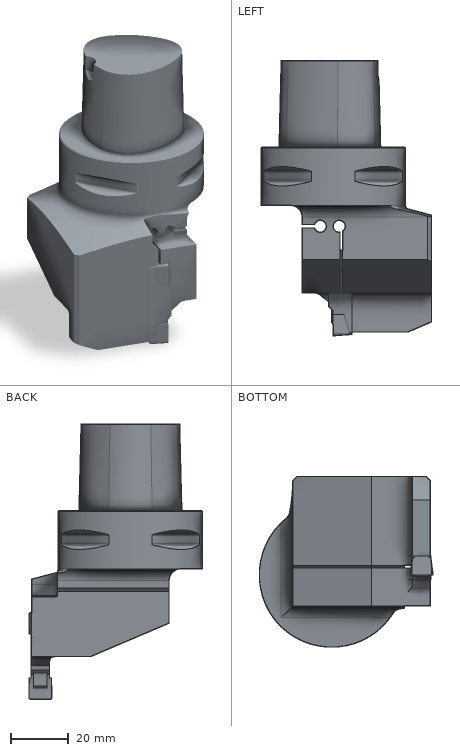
import cadquery as cq
import math

flange_radius = 25.0
flange_top = 65.2
flange_edge_chamfer = 0.4

groove_count = 4
groove_mid_z = 55.1
groove_floor_distance = 22.1
groove_floor_half_width = 1.7
groove_flank_angle = math.radians(30)
groove_floor_fillet = 0.6

shank_top = 95.0
lobe_tip_radius = 18.7
lobe_flat_radius = 16.4
lobe_arc_radius = 12.0
shank_taper_slope = 1 / 40

notch_radius = 4.7
notch_axis_y = -18.1
notch_wall_bottom = 89.6
notch_tip_half_angle = math.radians(53)

head_left = -13.4
head_right = 34.1
head_front = -34.0
head_back = 10.7
head_corner_chamfer = 1.5
head_left_bottom = 26.3
head_bottom = 14.7
slope_end_x = 13.8
flare_radius = 4.0
cone_angle = math.radians(15)
cone_edge_z = 44.1
cone_fillet = 1.2
cone_outer_radius = 57.0

blade_bottom = 1.3
blade_root_fillet = 1.5
blade_chamfer_start_y = -25.8
blade_chamfer_top = 4.8
jaw_relief_top_y = 5.3
jaw_relief_bottom = 11.8
jaw_relief_fillet = 1.9

bore_diameter = 4.1
bore_z = 37.8
clamp_bore_y = 4.5
pivot_bore_y = -2.1
clamp_slit_width = 1.1
seat_slit_width = 0.9
seat_slit_y = -2.85

step_wall_x = 25.2
step_wall_y = -5.6
step_floor_z = 35.3
step_long_fillet = 0.8
step_side_fillet = 4.3

insert_mid_x = 31.1
insert_length = 29.9
insert_shank_half_width = 3.2
insert_bottom_y = -6.5
insert_top_y = 1.5
insert_flank_rise = 0.5
rake_slope_start_z = 8.55
rake_slope_end_z = 10.1
tip_half_width = 4.0
tip_rear_half_width = 3.9
tip_length = 7.4
tip_taper_end_y = -6.1
tip_rear_taper_end_y = -3.7
tip_nose_radius = 0.8
ridge_half_width = 2.3
ridge_height = 0.6
ridge_start_z = 4.0

flange_bottom = cone_edge_z + cone_fillet * math.tan((math.pi / 2 - cone_angle) / 2)
flare_start = flange_bottom - flare_radius
blade_left = insert_mid_x - insert_shank_half_width
cos_45 = math.sqrt(0.5)


def polar(radius, degrees):
    angle = math.radians(degrees)
    return (radius * math.cos(angle), radius * math.sin(angle))


def lobed_section(z, inset):
    """Three lobes and three flatter sides as six tangent arcs, moved inward by inset."""
    lobe_center = lobe_tip_radius - lobe_arc_radius
    step_out = lobe_flat_radius - lobe_arc_radius
    flat_center = (lobe_center**2 - step_out**2) / (2 * step_out - lobe_center)
    half_pitch = math.radians(60)
    flat_half_angle = math.atan2(
        lobe_center * math.sin(half_pitch), flat_center + lobe_center * math.cos(half_pitch)
    )
    normal = half_pitch - flat_half_angle
    inset_radius = lobe_arc_radius - inset
    joint_x = lobe_center + inset_radius * math.cos(normal)
    joint_y = inset_radius * math.sin(normal)
    radius = math.hypot(joint_x, joint_y)
    spread = math.degrees(math.atan2(joint_y, joint_x))

    outline = cq.Workplane("XY", origin=(0, 0, z)).moveTo(*polar(radius, 90 - spread))
    for lobe in (90, 210, 330):
        outline = outline.threePointArc(
            polar(lobe_tip_radius - inset, lobe), polar(radius, lobe + spread)
        )
        outline = outline.threePointArc(
            polar(lobe_flat_radius - inset, lobe + 60), polar(radius, lobe + 120 - spread)
        )
    return outline.wire().val()


def make_shank():
    inset = (shank_top - flange_top) * shank_taper_slope
    sections = [lobed_section(flange_top, 0), lobed_section(shank_top, inset)]
    shank = cq.Workplane(cq.Solid.makeLoft(sections, True))
    tip_z = notch_wall_bottom - notch_radius / math.tan(notch_tip_half_angle)
    drill = (
        cq.Workplane("XZ")
        .polyline([(0, tip_z), (notch_radius, notch_wall_bottom), (notch_radius, shank_top), (0, shank_top)])
        .close()
        .revolve(360, (0, 0), (0, 1))
        .translate((0, notch_axis_y, 0))
    )
    return shank.cut(drill)


def make_flange():
    flange = (
        cq.Workplane("XY", origin=(0, 0, flange_bottom))
        .circle(flange_radius)
        .extrude(flange_top - flange_bottom)
        .faces(">Z")
        .edges()
        .chamfer(flange_edge_chamfer)
    )
    depth = flange_radius - groove_floor_distance
    mouth_half_width = groove_floor_half_width + depth * math.tan(groove_flank_angle)
    groove = (
        cq.Workplane("XZ", origin=(0, flange_radius, 0))
        .polyline([
            (groove_floor_distance, groove_mid_z - groove_floor_half_width),
            (flange_radius, groove_mid_z - mouth_half_width),
            (flange_radius, groove_mid_z + mouth_half_width),
            (groove_floor_distance, groove_mid_z + groove_floor_half_width),
        ])
        .close()
        .extrude(2 * flange_radius)
        .edges("|Y and <X")
        .fillet(groove_floor_fillet)
    )
    pitch = 360 / groove_count
    for i in range(groove_count):
        flange = flange.cut(groove.rotate((0, 0, 0), (0, 0, 1), pitch * (i + 0.5)))
    return flange


def make_front_profile():
    """Outline of the head across X and Z, run through the full depth."""
    length = head_back + flare_radius - head_front
    return (
        cq.Workplane("XZ", origin=(0, head_back + flare_radius, 0))
        .moveTo(head_right, flange_bottom)
        .lineTo(head_left - flare_radius, flange_bottom)
        .threePointArc(
            (head_left - flare_radius * (1 - cos_45), flare_start + flare_radius * cos_45),
            (head_left, flare_start),
        )
        .lineTo(head_left, head_left_bottom)
        .lineTo(slope_end_x, head_bottom)
        .lineTo(blade_left - blade_root_fillet, head_bottom)
        .threePointArc(
            (
                blade_left - blade_root_fillet * (1 - cos_45),
                head_bottom - blade_root_fillet * (1 - cos_45),
            ),
            (blade_left, head_bottom - blade_root_fillet),
        )
        .lineTo(blade_left, blade_bottom)
        .lineTo(head_right, blade_bottom)
        .close()
        .extrude(length)
        .edges("|Z and <Y")
        .edges("<X or >X")
        .chamfer(head_corner_chamfer)
    )


def make_side_profile():
    """Outline of the head across Y and Z, run through the full width."""
    relief_angle = math.atan2(head_bottom - jaw_relief_bottom, jaw_relief_top_y - insert_top_y)
    tangent = jaw_relief_fillet * math.tan(relief_angle / 2)
    center = (jaw_relief_top_y + tangent, head_bottom - jaw_relief_fillet)
    start = math.pi / 2 + relief_angle
    middle = math.pi / 2 + relief_angle / 2

    def on_relief(angle):
        return (
            center[0] + jaw_relief_fillet * math.cos(angle),
            center[1] + jaw_relief_fillet * math.sin(angle),
        )

    return (
        cq.Workplane("YZ", origin=(head_left - flare_radius, 0, 0))
        .moveTo(head_front, flange_bottom)
        .lineTo(head_front, blade_chamfer_top)
        .lineTo(blade_chamfer_start_y, blade_bottom)
        .lineTo(insert_bottom_y, blade_bottom)
        .lineTo(insert_bottom_y, head_bottom)
        .lineTo(insert_top_y, head_bottom)
        .lineTo(insert_top_y, jaw_relief_bottom)
        .lineTo(*on_relief(start))
        .threePointArc(on_relief(middle), (center[0], head_bottom))
        .lineTo(head_back, head_bottom)
        .lineTo(head_back, flare_start)
        .threePointArc(
            (head_back + flare_radius * (1 - cos_45), flare_start + flare_radius * cos_45),
            (head_back + flare_radius, flange_bottom),
        )
        .close()
        .extrude(head_right - head_left + flare_radius)
    )


def make_cone_envelope():
    """Solid of revolution whose conical top, filleted to the flange, trims the head."""
    center = (flange_radius + cone_fillet, flange_bottom)
    end_angle = 1.5 * math.pi - cone_angle
    mid_angle = (math.pi + end_angle) / 2

    def on_fillet(angle):
        return (
            center[0] + cone_fillet * math.cos(angle),
            center[1] + cone_fillet * math.sin(angle),
        )

    outer_z = cone_edge_z - (cone_outer_radius - flange_radius) * math.tan(cone_angle)
    return (
        cq.Workplane("XZ")
        .moveTo(0, 0)
        .lineTo(cone_outer_radius, 0)
        .lineTo(cone_outer_radius, outer_z)
        .lineTo(*on_fillet(end_angle))
        .threePointArc(on_fillet(mid_angle), (flange_radius, flange_bottom))
        .lineTo(0, flange_bottom)
        .close()
        .revolve(360, (0, 0), (0, 1))
    )


def box_between(low, high):
    size = [b - a for a, b in zip(low, high)]
    return cq.Workplane("XY").box(*size, centered=False).translate(low)


def make_slits():
    x_low = head_left - flare_radius
    bores = (
        cq.Workplane("YZ", origin=(x_low, 0, 0))
        .pushPoints([(clamp_bore_y, bore_z), (pivot_bore_y, bore_z)])
        .circle(bore_diameter / 2)
        .extrude(head_right - x_low)
    )
    clamp_slit = box_between(
        (x_low, clamp_bore_y, bore_z - clamp_slit_width / 2),
        (head_right, head_back + flare_radius, bore_z + clamp_slit_width / 2),
    )
    seat_slit = box_between(
        (x_low, seat_slit_y - seat_slit_width / 2, blade_bottom),
        (head_right, seat_slit_y + seat_slit_width / 2, bore_z),
    )
    return bores.union(clamp_slit).union(seat_slit)


def make_jaw_step():
    step = box_between(
        (step_wall_x, step_wall_y, step_floor_z),
        (head_right, head_back + flare_radius, flange_bottom),
    )
    step = step.edges("|X and <Y and <Z").fillet(step_side_fillet)
    return step.edges("|Y and <X and <Z").fillet(step_long_fillet)


def make_head():
    head = make_front_profile().intersect(make_side_profile()).intersect(make_cone_envelope())
    return head.cut(make_slits()).cut(make_jaw_step())


def make_insert_tip():
    """Cutting tip, widest at its rake face and tapered toward the seat."""

    def section(z, half_width, end_y):
        return (
            cq.Workplane("XY", origin=(insert_mid_x, 0, z))
            .polyline([
                (-half_width, 0),
                (half_width, 0),
                (insert_shank_half_width, end_y),
                (-insert_shank_half_width, end_y),
            ])
            .close()
            .val()
        )

    front = section(0, tip_half_width, tip_taper_end_y)
    rear = section(tip_length, tip_rear_half_width, tip_rear_taper_end_y)
    tip = cq.Workplane(cq.Solid.makeLoft([front, rear], True))
    tip = tip.faces("<Z").edges("<X or >X").fillet(tip_nose_radius)
    flank = (
        cq.Workplane("YZ", origin=(insert_mid_x - tip_half_width, 0, 0))
        .polyline([(0, 0), (insert_bottom_y, insert_flank_rise), (insert_bottom_y, 0)])
        .close()
        .extrude(2 * tip_half_width)
    )
    return tip.cut(flank)


def make_chip_ridge():
    """Raised strip along the middle of the rake face, running into the slope behind it."""
    rake_slope = (rake_slope_end_z - rake_slope_start_z) / insert_top_y
    return (
        cq.Workplane("YZ", origin=(insert_mid_x - ridge_half_width, 0, 0))
        .polyline([
            (0, ridge_start_z),
            (ridge_height, ridge_start_z + ridge_height),
            (ridge_height, rake_slope_start_z + ridge_height * rake_slope),
            (0, rake_slope_start_z),
        ])
        .close()
        .extrude(2 * ridge_half_width)
    )


def make_insert():
    end_outline = [
        (insert_bottom_y, insert_flank_rise),
        (0, 0),
        (0, rake_slope_start_z),
        (insert_top_y, rake_slope_end_z),
    ]
    other_end = [(y, insert_length - z) for y, z in reversed(end_outline)]
    insert = (
        cq.Workplane("YZ", origin=(blade_left, 0, 0))
        .polyline(end_outline + other_end)
        .close()
        .extrude(2 * insert_shank_half_width)
    )
    for end_face in ("<Z", ">Z"):
        insert = insert.faces(end_face).edges("<X or >X").fillet(tip_nose_radius)
    for feature in (make_insert_tip(), make_chip_ridge()):
        other_feature = feature.mirror("XY").translate((0, 0, insert_length))
        insert = insert.union(feature).union(other_feature)
    return insert


insert = make_insert()
holder = make_flange().union(make_shank()).union(make_head()).cut(insert)

result = cq.Compound.makeCompound([holder.val(), insert.val()])